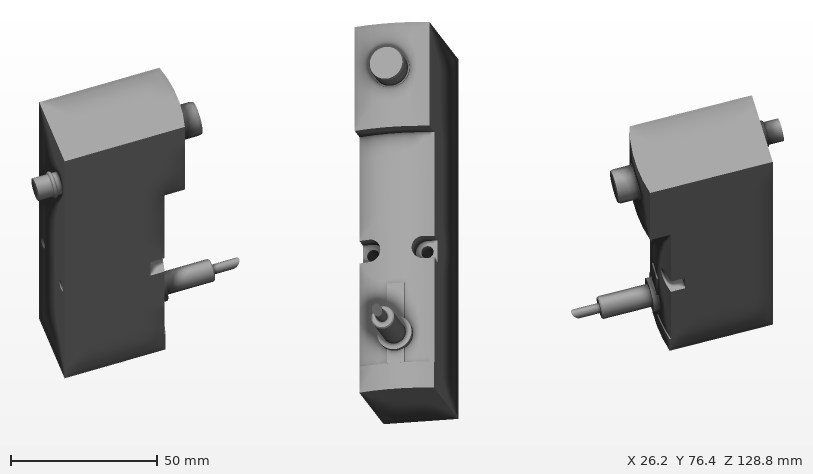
import cadquery as cq

WIDTH = 26.2
HALF_WIDTH = WIDTH / 2
HEIGHT = 128.8
CROWN_RISE = 1.75
HEAD_BOTTOM = 91.6
HEAD_DEPTH = 45.25
BODY_DEPTH = 37.9
FOOT_HEIGHT = 9.3
FOOT_DEPTH = 38.3

STRIP_WIDTH = 6.0
STRIP_TOP = 37.8

HOLE_DIAMETER = 4.3
HOLE_OFFSET = 9.5
HOLE_Z = 50.4
RECESS_WIDTH = 8.0
RECESS_FLOOR = 31.0

BUTTON_Z = 112.3
BUTTON_DIAMETER = 12.0
BUTTON_TIP = 52.5
BUTTON_CHAMFER_LENGTH = 1.0
BUTTON_CHAMFER_DEPTH = 0.3
COLLAR_DIAMETER = 13.0
COLLAR_HEIGHT = 0.1

CABLE_Z = 19.6
FLANGE_DIAMETER = 12.0
FLANGE_END = 40.0
SLEEVE_DIAMETER = 8.0
SLEEVE_END = 57.8
SLEEVE_CHAMFER = 0.4
CABLE_DIAMETER = 3.5
CABLE_TIP = 67.8

PLUG_X = 7.3
PLUG_Z = 108.3
PLUG_DIAMETER = 8.0
PLUG_LENGTH = 8.6
RING_SECTION_RADIUS = 0.75
RING_DISTANCE = 2.6

ROOT_DEPTH = 5.0


def crowned_block(bottom, top, depth):
    """Block with a flat front and a back rounded about a vertical axis."""
    edge = depth - CROWN_RISE
    return (
        cq.Workplane("XY", origin=(0, 0, bottom))
        .moveTo(-HALF_WIDTH, edge)
        .lineTo(-HALF_WIDTH, 0)
        .lineTo(HALF_WIDTH, 0)
        .lineTo(HALF_WIDTH, edge)
        .threePointArc((0, depth), (-HALF_WIDTH, edge))
        .close()
        .extrude(top - bottom)
    )


def cylinder_along_y(x, z, diameter, start, end):
    """Cylinder parallel to Y that runs from Y = start up to Y = end."""
    plane = cq.Plane(origin=(x, start, z), xDir=(1, 0, 0), normal=(0, 1, 0))
    return cq.Workplane(plane).circle(diameter / 2).extrude(end - start)


def box_between(low, high):
    """Box spanned by two opposite corners."""
    size = [b - a for a, b in zip(low, high)]
    return cq.Workplane("XY", origin=low).box(*size, centered=False)


def housing():
    head = crowned_block(HEAD_BOTTOM, HEIGHT, HEAD_DEPTH)
    body = crowned_block(FOOT_HEIGHT, HEAD_BOTTOM, BODY_DEPTH)
    foot = crowned_block(0, FOOT_HEIGHT, FOOT_DEPTH)
    strip = box_between(
        (-STRIP_WIDTH / 2, BODY_DEPTH - ROOT_DEPTH, FOOT_HEIGHT),
        (STRIP_WIDTH / 2, FOOT_DEPTH, STRIP_TOP),
    )
    return head.union(body).union(foot).union(strip)


def mounting_cut(side):
    """Through hole and open recess; side is -1 at the left, 1 at the right."""
    x = side * HOLE_OFFSET
    wall = side * HALF_WIDTH
    hole = cylinder_along_y(x, HOLE_Z, HOLE_DIAMETER, 0, BODY_DEPTH)
    recess = cylinder_along_y(x, HOLE_Z, RECESS_WIDTH, RECESS_FLOOR, BODY_DEPTH)
    mouth = box_between(
        (min(x, wall), RECESS_FLOOR, HOLE_Z - RECESS_WIDTH / 2),
        (max(x, wall), BODY_DEPTH, HOLE_Z + RECESS_WIDTH / 2),
    )
    return hole.union(recess).union(mouth)


def button():
    root = HEAD_DEPTH - ROOT_DEPTH
    collar_end = HEAD_DEPTH + COLLAR_HEIGHT
    collar = cylinder_along_y(0, BUTTON_Z, COLLAR_DIAMETER, root, collar_end)
    cap = cylinder_along_y(0, BUTTON_Z, BUTTON_DIAMETER, root, BUTTON_TIP)
    cap = cap.faces(">Y").chamfer(BUTTON_CHAMFER_LENGTH, BUTTON_CHAMFER_DEPTH)
    return collar.union(cap)


def cable_outlet():
    root = BODY_DEPTH - ROOT_DEPTH
    flange = cylinder_along_y(0, CABLE_Z, FLANGE_DIAMETER, root, FLANGE_END)
    sleeve = cylinder_along_y(0, CABLE_Z, SLEEVE_DIAMETER, root, SLEEVE_END)
    sleeve = sleeve.faces(">Y").chamfer(SLEEVE_CHAMFER)
    return flange.union(sleeve).union(cable())


def cable():
    """Cable end cut at 45 degrees, longest along its upper side."""
    radius = CABLE_DIAMETER / 2
    stub = cylinder_along_y(0, CABLE_Z, CABLE_DIAMETER, SLEEVE_END - ROOT_DEPTH, CABLE_TIP)
    wedge = (
        cq.Workplane("YZ", origin=(-radius, 0, 0))
        .moveTo(CABLE_TIP, CABLE_Z + radius)
        .lineTo(CABLE_TIP - CABLE_DIAMETER, CABLE_Z - radius)
        .lineTo(CABLE_TIP, CABLE_Z - radius)
        .close()
        .extrude(CABLE_DIAMETER)
    )
    return stub.cut(wedge)


def plug():
    pin = cylinder_along_y(PLUG_X, PLUG_Z, PLUG_DIAMETER, -PLUG_LENGTH, ROOT_DEPTH)
    ring_plane = cq.Plane(origin=(PLUG_X, 0, PLUG_Z), xDir=(-1, 0, 0), normal=(0, 0, 1))
    ring = (
        cq.Workplane(ring_plane)
        .center(-PLUG_DIAMETER / 2, RING_DISTANCE)
        .circle(RING_SECTION_RADIUS)
        .revolve(360, (PLUG_DIAMETER / 2, 0), (PLUG_DIAMETER / 2, 1))
    )
    return pin.union(ring)


result = housing()
for side in (-1, 1):
    result = result.cut(mounting_cut(side))
for fitting in (button(), cable_outlet(), plug()):
    result = result.union(fitting)